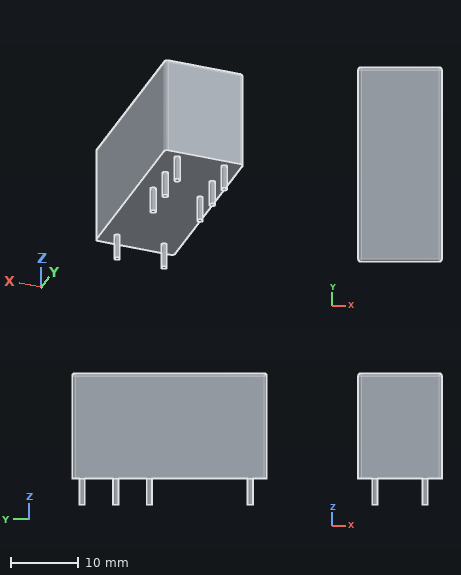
import cadquery as cq

width = 12.5
length = 29.0
total_height = 19.6

pin_length = 3.92
housing_height = total_height - pin_length
edge_radius = 0.5

pin_diameter = 0.85
row_spacing = 7.48
row_span = 25.0
pin_pitch = row_span / 5
end_margin = 1.5


def make_housing():
    """Box standing on Z = 0, rounded everywhere except around its flat underside."""
    box = cq.Workplane("XY").box(width, length, housing_height, centered=(True, True, False))
    return box.edges("|Z or >Z").fillet(edge_radius)


def pin_centers():
    first_y = length / 2 - end_margin
    row_offsets = [0, pin_pitch, 2 * pin_pitch, row_span]
    return [
        (side * row_spacing / 2, first_y - offset)
        for side in (-1, 1)
        for offset in row_offsets
    ]


def make_pins():
    """Round pins hanging below the housing."""
    return cq.Workplane("XY").pushPoints(pin_centers()).circle(pin_diameter / 2).extrude(-pin_length)


result = make_housing().union(make_pins())